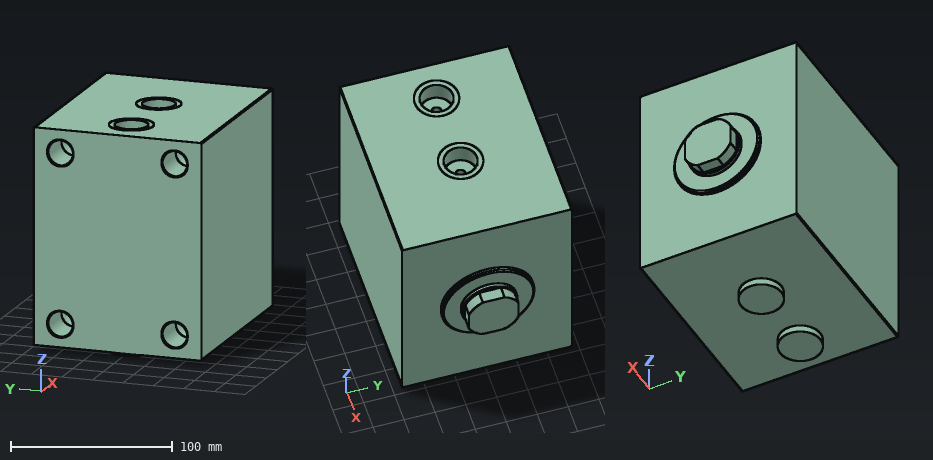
import cadquery as cq
import math


TOTAL_LENGTH = 147.0
TOTAL_HEIGHT = 145.0
ROD_PROTRUSION = 14.0
BLOCK_LENGTH = TOTAL_LENGTH - ROD_PROTRUSION
BLOCK_WIDTH = 110.0
BLOCK_HEIGHT = 140.0
BLOCK_CHAMFER = 0.5

MOUNT_SPACING_Y = 75.0
MOUNT_SPACING_Z = 110.0
MOUNT_DIAMETER = 16.2
MOUNT_MOUTH_CHAMFER = 0.6
MOUNT_DEPTH = 25.0
DRILL_POINT_ANGLE = 118.0

PORT_FIRST_X = 26.0
PORT_PITCH = 50.9
PORT_XS = (PORT_FIRST_X, PORT_FIRST_X + PORT_PITCH)
PORT_DIAMETER = 21.0
PORT_DEPTH = 13.1
SPOTFACE_DIAMETER = 28.1
SPOTFACE_DEPTH = 0.1
OIL_PASSAGE_DIAMETER = 6.0
PLUG_DIAMETER = SPOTFACE_DIAMETER
PLUG_HEIGHT = TOTAL_HEIGHT - BLOCK_HEIGHT

ROD_DIAMETER = 36.0
ROD_START_X = 14.7
ROD_SHOULDER = 6.0
ROD_SHOULDER_CHAMFER = 0.6
ROD_END_DIAMETER = 35.0
ROD_ACROSS_FLATS = 32.0

GLAND_DIAMETER = 60.0
GLAND_THICKNESS = 3.0
GLAND_CHAMFER = 1.0


def x_cylinder(diameter, start_x, end_x):
    """Cylinder on the rod axis between two X positions."""
    return cq.Workplane("YZ", origin=(start_x, 0, 0)).circle(diameter / 2).extrude(end_x - start_x)


def z_cylinder(diameter, x, bottom_z, top_z):
    """Upright cylinder at a position along X, between two heights."""
    return cq.Workplane("XY", origin=(x, 0, bottom_z)).circle(diameter / 2).extrude(top_z - bottom_z)


def mounting_hole():
    """One hole cutter about its local Z axis, with its mouth at Z = 0."""
    radius = MOUNT_DIAMETER / 2
    half_point_angle = math.radians(DRILL_POINT_ANGLE / 2)
    point_length = radius / math.tan(half_point_angle)
    return (
        cq.Workplane("XZ")
        .polyline([
            (0, 0),
            (radius + MOUNT_MOUTH_CHAMFER, 0),
            (radius, MOUNT_MOUTH_CHAMFER),
            (radius, MOUNT_DEPTH),
            (0, MOUNT_DEPTH + point_length),
        ])
        .close()
        .revolve(360, (0, 0), (0, 1))
    )


def mounting_holes():
    """Four blind holes with chamfered mouths and drill-point bottoms."""
    return (
        cq.Workplane("YZ")
        .rect(MOUNT_SPACING_Y, MOUNT_SPACING_Z, forConstruction=True)
        .vertices()
        .eachpoint(mounting_hole().val(), True)
    )


def port(x):
    """Spotfaced oil port whose narrow passage reaches down to the rod bore."""
    top = BLOCK_HEIGHT / 2
    spotface = z_cylinder(SPOTFACE_DIAMETER, x, top - SPOTFACE_DEPTH, top)
    bore = z_cylinder(PORT_DIAMETER, x, top - PORT_DEPTH, top)
    passage = z_cylinder(OIL_PASSAGE_DIAMETER, x, 0, top)
    return spotface.union(bore).union(passage)


def make_block():
    """Cylinder block with its rod bore, mounting holes and oil ports."""
    block = (
        cq.Workplane("XY")
        .box(BLOCK_LENGTH, BLOCK_WIDTH, BLOCK_HEIGHT)
        .translate((BLOCK_LENGTH / 2, 0, 0))
        .edges("|X")
        .chamfer(BLOCK_CHAMFER)
    )
    block = block.cut(x_cylinder(ROD_DIAMETER, ROD_START_X, BLOCK_LENGTH))
    block = block.cut(mounting_holes())
    for x in PORT_XS:
        block = block.cut(port(x))
    return block


def make_rod():
    """Piston rod with a chamfered shoulder and a stepped end with four wrench flats."""
    shoulder_x = BLOCK_LENGTH + ROD_SHOULDER
    body = x_cylinder(ROD_DIAMETER, ROD_START_X, shoulder_x).faces(">X").chamfer(ROD_SHOULDER_CHAMFER)
    end_length = TOTAL_LENGTH - shoulder_x
    wrench_square = (
        cq.Workplane("YZ", origin=(shoulder_x, 0, 0))
        .rect(ROD_ACROSS_FLATS, ROD_ACROSS_FLATS)
        .extrude(end_length)
    )
    end = x_cylinder(ROD_END_DIAMETER, shoulder_x, TOTAL_LENGTH).intersect(wrench_square)
    return body.union(end)


def make_gland():
    """Ring seated on the block face, with a chamfered outer rim, closely around the rod."""
    face_x = BLOCK_LENGTH + GLAND_THICKNESS
    disc = x_cylinder(GLAND_DIAMETER, BLOCK_LENGTH, face_x).faces(">X").chamfer(GLAND_CHAMFER)
    return disc.cut(x_cylinder(ROD_DIAMETER, BLOCK_LENGTH, face_x))


def make_plug(x):
    """Round plug seated against the underside of the block."""
    underside = -BLOCK_HEIGHT / 2
    return z_cylinder(PLUG_DIAMETER, x, underside - PLUG_HEIGHT, underside)


block = make_block()
rod = make_rod()
gland = make_gland()
plugs = [make_plug(x) for x in PORT_XS]

result = cq.Compound.makeCompound([
    block.val(),
    rod.val(),
    gland.val(),
    *[plug.val() for plug in plugs],
])